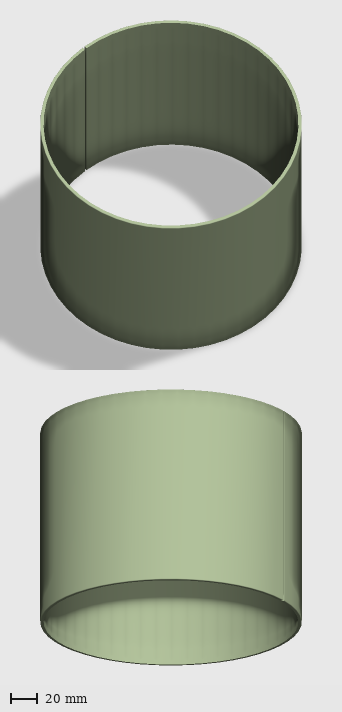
import cadquery as cq

outer_diameter = 195.0
height = 150.0
wall = 2.5
rim_rounding = 0.5
slit_angle = 1.0

outer_radius = outer_diameter / 2
inner_radius = outer_radius - wall

wall_section = (
    cq.Sketch()
    .rect(wall, height)
    .vertices("<X")
    .fillet(rim_rounding)
)

section_center = -(outer_radius + inner_radius) / 2
result = (
    cq.Workplane("XZ")
    .placeSketch(wall_section.moved(cq.Location(cq.Vector(section_center, 0, 0))))
    .revolve(360 - slit_angle, (0, 0, 0), (0, 1, 0))
)